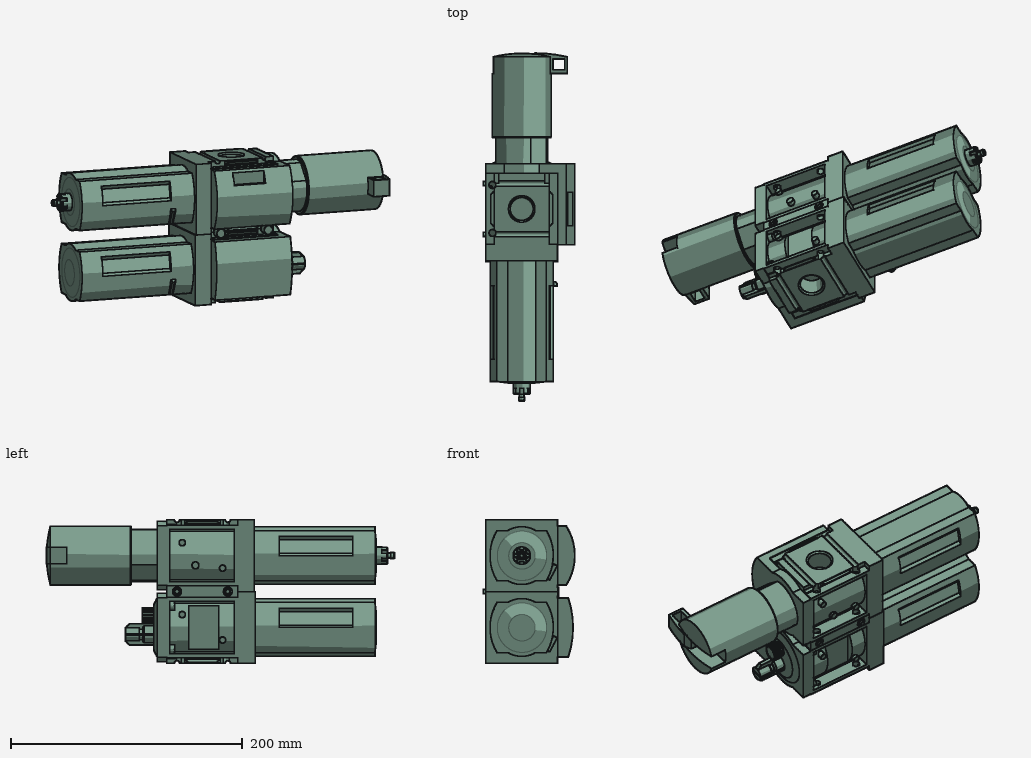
import cadquery as cq
import math


total_height = 124.0
unit_size = total_height / 2
half = unit_size / 2
end_back = 39.0
seat_back = 31.0
seat_front = -30.5
upper_front = -44.7
lower_front = -45.5

seat_width = 7.2
seat_depth = 4.8
screw_y = 22.0
screw_d = 4.5
screw_tip_d = 4.0
screw_tip_x = -33.3
screw_head_d = 7.8
screw_head_x = half + 1.0
counterbore_d = 7.5
counterbore_depth = 1.5
ledge_length = 30.5
ledge_width = 3.0
ledge_gap = 0.5
ledge_drop = 3.0
ledge_edge = 0.5
stud_hole_d = 6.0
stud_hole_x = -25.2
stud_hole_y = 20.7
corner_notch_width = 4.0
corner_notch_depth = 4.0
corner_notch_front = 22.2

end_half_height = 25.5
end_disc_r = 29.7

port_d = 19.8
port_mouth_d = 22.8
port_depth = 18.0

pocket_back = 28.2
pocket_front = -27.5
pocket_half_height = 22.5
pocket_depth = 11.0
barrel_r = 28.8
pin_d = 5.5
large_pin_d = 6.0
pin_length_beyond_barrel = 1.8
upper_pins = [(17.5, 11.0, pin_d), (6.0, -8.5, large_pin_d), (-17.5, -10.8, pin_d)]
lower_pins = [(17.5, 11.0, pin_d), (-17.5, -10.8, pin_d)]
flat_back = 11.7
flat_front = -14.0
flat_half_height = 18.5
roller_d = 7.5
roller_front = 24.0
roller_x = -25.5
roller_z = 18.5

cover_front = -31.0
cover_half_height = end_half_height
upper_cover_x = 46.0
upper_cover_edge_x = 38.5
lower_cover_x = 44.5
lower_cover_edge_x = 40.2
cover_notch_half_length = 14.5
cover_notch_floor_x = 40.0
cover_notch_z = 12.5

bowl_end = -149.0
bowl_half_width = 27.3
bowl_corner_x = 21.3
bowl_flat_z = 21.5
bowl_crown_z = 25.0
bowl_crown_half = 12.0
bowl_cone_base_r = 21.3
bowl_cone_tip_r = 11.5
bowl_cone_height = 1.2
window_back = -66.5
window_front = -129.7
window_height = 16.8
window_sill_z = 2.0
window_sill_x = 24.5
window_lintel_z = 13.5
window_lintel_x = 22.2
window_edge_x = 24.0
latch_back = -62.8
latch_length = 4.0
latch_width = 13.8
latch_thickness = 3.5
latch_chamfer = 1.8
latch_x = 25.8
latch_z = -14.0
latch_tilt = 28.0

drain_d = 15.0
drain_end = -159.8
drain_slot_width = 3.3
drain_slot_back = -154.7
drain_chamfer = 1.0
drain_slot_depth = 2.5
drain_slot_count = 6
drain_recess_d = 7.5
drain_recess_depth = 1.2
nozzle_d = 4.5
nozzle_tip_d = 5.5
nozzle_tip_back = -162.5
nozzle_tip_front = -165.0
nozzle_end = -165.8
nozzle_bore_d = 3.3

neck_r = 22.5
neck_flat_distance = 20.5
knob_r = 25.5
knob_front = 61.3
knob_front_chamfer = 1.0
knob_rim = 131.2
knob_top = 134.5
knob_dome_mid_y = knob_top - (knob_top - knob_rim) / 4
knob_flat_angle = -45
knob_slot_height = 14.5
knob_slot_front = 116.8
hasp_x = 39.3
hasp_inner_x = 5.7
hasp_crown_x = 11.7
hasp_hole_x0 = 27.0
hasp_hole_x1 = 37.0
hasp_hole_y0 = 120.0
hasp_hole_y1 = 129.0

dome_r = 25.2
dome_flat_r = 19.2
dome_top = 42.0
dome_mid_y = 40.8
filler_d = 13.0
filler_z = 10.5
filler_end = 52.0
filler_flute_count = 14
filler_flute_d = 1.2
drip_z = -6.0
drip_base_d = 15.0
drip_base_end = 51.7
drip_base_chamfer = 1.5
drip_neck_end = 54.7
drip_neck_d = 10.0
drip_head_d = 11.7
drip_end = 66.5
wing_height = 18.5
wing_thickness = 3.5
wing_chamfer = 3.5
drip_slit = 1.0


def block(x0, x1, y0, y1, z0, z1):
    """Box between the given limits."""
    return cq.Workplane("XY").box(x1 - x0, y1 - y0, z1 - z0, centered=False).translate((x0, y0, z0))


def rod_y(diameter, y0, y1, x=0.0, z=0.0):
    """Cylinder along Y."""
    return cq.Workplane("XZ", origin=(x, y1, z)).circle(diameter / 2).extrude(y1 - y0)


def rod_x(diameter, x0, x1, y=0.0, z=0.0):
    """Cylinder along X."""
    return cq.Workplane("YZ", origin=(x0, y, z)).circle(diameter / 2).extrude(x1 - x0)


def both_sides(shape):
    """Shape together with its mirror image across the XY plane."""
    return shape.union(shape.mirror("XY"))


def seat_ledges():
    """Ledges on the inner walls of the +Z seats at -X and +X, with ends cut at 45 degrees."""
    inner_x = half - seat_width
    long_half = ledge_length / 2
    short_half = long_half - ledge_width
    outline = [
        (inner_x, -long_half),
        (inner_x + ledge_width, -short_half),
        (inner_x + ledge_width, short_half),
        (inner_x, long_half),
    ]
    plan = cq.Workplane("XY", origin=(0, 0, half - seat_depth)).polyline(outline).close().extrude(seat_depth)
    top_z = half - ledge_gap
    profile = [
        (inner_x, top_z),
        (inner_x + ledge_width, top_z),
        (inner_x + ledge_width, top_z - ledge_edge),
        (inner_x, top_z - ledge_drop),
    ]
    ledge = cq.Workplane("XZ", origin=(0, long_half, 0)).polyline(profile).close().extrude(ledge_length)
    ledge = ledge.intersect(plan)
    return ledge.union(ledge.mirror("YZ"))


def seats():
    """Material removed along the +Z face: clamp seats, corner notches, screw grooves, stud holes."""
    floor = half - seat_depth
    inner_x = half - seat_width
    removed = rod_x(screw_d, -half, half, screw_y, half)
    removed = removed.union(rod_x(screw_d, -half, half, -screw_y, half))
    for y in (-stud_hole_y, stud_hole_y):
        hole = cq.Workplane("XY", origin=(stud_hole_x, y, half)).circle(stud_hole_d / 2)
        removed = removed.union(hole.extrude(pocket_half_height - half))
    for side in (-1, 1):
        seat = block(inner_x, half, seat_front, seat_back, floor, half)
        notch = block(inner_x - corner_notch_width, inner_x, corner_notch_front, seat_back,
                      half - corner_notch_depth, half)
        cut = seat.union(notch)
        removed = removed.union(cut if side > 0 else cut.mirror("YZ"))
    return removed.cut(seat_ledges())


def port():
    """Port with a conical mouth in the +Z face."""
    bore = cq.Workplane("XY", origin=(0, 0, half)).circle(port_d / 2).extrude(-port_depth)
    mouth_depth = (port_mouth_d - port_d) / 2
    mouth = (cq.Workplane("XY", origin=(0, 0, half)).circle(port_mouth_d / 2)
             .workplane(offset=-mouth_depth).circle(port_d / 2).loft())
    return bore.union(mouth)


def housing(front, port_side, pins):
    """Square housing with its seats, port, side pocket, inner barrel and indicator pins."""
    body = block(-half, half, front, seat_back, -half, half)
    body = body.cut(both_sides(seats()))
    body = body.union(block(-half, half, seat_back, end_back, -end_half_height, end_half_height))
    body = body.union(rod_y(2 * end_disc_r, seat_back, end_back))

    mouth = port()
    body = body.cut(mouth if port_side > 0 else mouth.mirror("XY"))

    pocket = block(-half, pocket_depth - half, pocket_front, pocket_back,
                   -pocket_half_height, pocket_half_height)
    pocket = pocket.cut(rod_y(2 * barrel_r, pocket_front, pocket_back))
    body = body.cut(pocket)
    for y, z, diameter in pins:
        tip_x = -barrel_r - pin_length_beyond_barrel
        body = body.union(rod_x(diameter, tip_x, pocket_depth - half, y, z))
    return body


def cover(edge_x, crown_x):
    """Side cover with a bulged outer face."""
    profile = (cq.Workplane("XZ", origin=(0, end_back, 0))
               .moveTo(half, -cover_half_height).lineTo(edge_x, -cover_half_height)
               .threePointArc((crown_x, 0), (edge_x, cover_half_height))
               .lineTo(half, cover_half_height).close())
    return profile.extrude(end_back - cover_front)


def bowl(front):
    """Bowl with bulged sides, crowned top and bottom, side windows, a latch and a conical end."""
    outline = (cq.Workplane("XZ", origin=(0, front, 0))
               .moveTo(-bowl_corner_x, -bowl_flat_z)
               .threePointArc((-bowl_half_width, 0), (-bowl_corner_x, bowl_flat_z))
               .lineTo(-bowl_crown_half, bowl_flat_z)
               .threePointArc((0, bowl_crown_z), (bowl_crown_half, bowl_flat_z))
               .lineTo(bowl_corner_x, bowl_flat_z)
               .threePointArc((bowl_half_width, 0), (bowl_corner_x, -bowl_flat_z))
               .lineTo(bowl_crown_half, -bowl_flat_z)
               .threePointArc((0, -bowl_crown_z), (-bowl_crown_half, -bowl_flat_z))
               .close())
    body = outline.extrude(front - bowl_end)

    window_profile = [
        (-half, 0),
        (-bowl_half_width, 0),
        (-window_sill_x, window_sill_z),
        (-window_lintel_x, window_lintel_z),
        (-window_edge_x, window_height),
        (-half, window_height),
    ]
    window = cq.Workplane("XZ", origin=(0, window_back, 0)).polyline(window_profile).close()
    window = window.extrude(window_back - window_front)
    body = body.cut(window).cut(window.mirror("YZ"))

    latch = block(-latch_thickness / 2, latch_thickness / 2, latch_back - latch_length, latch_back,
                  -latch_width / 2, latch_width / 2)
    latch = latch.faces(">X").edges(">Y").chamfer(latch_chamfer)
    latch = latch.rotate((0, 0, 0), (0, 1, 0), latch_tilt).translate((latch_x, 0, latch_z))
    body = body.union(latch)

    cone = (cq.Workplane("XZ", origin=(0, bowl_end, 0)).circle(bowl_cone_base_r)
            .workplane(offset=bowl_cone_height).circle(bowl_cone_tip_r).loft())
    return body.union(cone)


def drain():
    """Slotted drain collar with a flanged, bored nozzle."""
    recess_floor = drain_end + drain_recess_depth
    collar = rod_y(drain_d, drain_end, bowl_end).faces("<Y").chamfer(drain_chamfer)
    collar = collar.cut(rod_y(drain_recess_d, drain_end, recess_floor))
    for index in range(drain_slot_count):
        slot = block(-drain_slot_width / 2, drain_slot_width / 2, drain_end, drain_slot_back,
                     drain_d / 2 - drain_slot_depth, drain_d)
        collar = collar.cut(slot.rotate((0, 0, 0), (0, 1, 0), index * 360 / drain_slot_count))
    nozzle = rod_y(nozzle_d, nozzle_end, recess_floor)
    nozzle = nozzle.union(rod_y(nozzle_tip_d, nozzle_tip_front, nozzle_tip_back))
    return collar.union(nozzle).cut(rod_y(nozzle_bore_d, nozzle_end, recess_floor))


def knob():
    """Round knob on a neck with two flats, domed end, cross slot and a padlock hasp."""
    neck = rod_y(2 * neck_r, end_back, knob_front)
    flats = block(-neck_flat_distance, neck_flat_distance, end_back, knob_front, -knob_r, knob_r)
    neck = neck.intersect(flats.rotate((0, 0, 0), (0, 1, 0), knob_flat_angle))

    grip = (cq.Workplane("XY").moveTo(0, knob_front).lineTo(knob_r - knob_front_chamfer, knob_front)
            .lineTo(knob_r, knob_front + knob_front_chamfer).lineTo(knob_r, knob_rim)
            .threePointArc((knob_r / 2, knob_dome_mid_y), (0, knob_top))
            .close().revolve(360, (0, 0, 0), (0, 1, 0)))
    slot = block(-knob_r, hasp_crown_x, knob_slot_front, knob_top,
                 -knob_slot_height / 2, knob_slot_height / 2)
    grip = grip.cut(slot)

    hasp_mid_x = (hasp_crown_x + hasp_x) / 2
    hasp = (cq.Workplane("XY", origin=(0, 0, -knob_slot_height / 2))
            .moveTo(hasp_inner_x, knob_slot_front).lineTo(hasp_x, knob_slot_front)
            .lineTo(hasp_x, knob_rim).threePointArc((hasp_mid_x, knob_dome_mid_y), (hasp_crown_x, knob_top))
            .lineTo(hasp_inner_x, knob_rim).close().extrude(knob_slot_height))
    hole = block(hasp_hole_x0, hasp_hole_x1, hasp_hole_y0, hasp_hole_y1, -knob_r, knob_r)
    return neck.union(grip).union(hasp).cut(hole)


def upper_unit():
    """Filter regulator: housing, notched cover, bowl with drain, and knob."""
    side_cover = cover(upper_cover_edge_x, upper_cover_x)
    side_cover = side_cover.cut(block(cover_notch_floor_x, upper_cover_x, -cover_notch_half_length,
                                      cover_notch_half_length, cover_notch_z, cover_half_height))
    body = housing(upper_front, 1, upper_pins)
    body = body.union(side_cover).union(bowl(upper_front)).union(drain()).union(knob())
    return body.translate((0, 0, half))


def dome():
    """Shallow dome on the +Y face."""
    mid_r = (dome_r + dome_flat_r) / 2
    profile = (cq.Workplane("XY").moveTo(0, end_back).lineTo(dome_r, end_back)
               .threePointArc((mid_r, dome_mid_y), (dome_flat_r, dome_top)).lineTo(0, dome_top).close())
    return profile.revolve(360, (0, 0, 0), (0, 1, 0))


def filler_cap():
    """Fluted cap of the oil filler."""
    cap = rod_y(filler_d, dome_top, filler_end, 0, filler_z)
    for index in range(filler_flute_count):
        angle = 2 * math.pi * index / filler_flute_count
        x = filler_d / 2 * math.cos(angle)
        z = filler_z + filler_d / 2 * math.sin(angle)
        cap = cap.cut(rod_y(filler_flute_d, dome_top, filler_end, x, z))
    return cap


def drip_knob():
    """Stepped drip-rate knob with a flat wing and a slit across its end."""
    base = rod_y(drip_base_d, dome_top, drip_base_end).faces(">Y").chamfer(drip_base_chamfer)
    stem = rod_y(drip_neck_d, drip_base_end, drip_neck_end)
    head = rod_y(drip_head_d, drip_neck_end, drip_end)
    wing = block(-wing_thickness / 2, wing_thickness / 2, dome_top, drip_end,
                 -wing_height / 2, wing_height / 2)
    wing = wing.faces(">Y").edges("|X").chamfer(wing_chamfer)
    shape = base.union(stem).union(head).union(wing)
    shape = shape.cut(block(-wing_height, wing_height, dome_top, drip_end, -drip_slit / 2, drip_slit / 2))
    return shape.translate((0, 0, drip_z))


def lower_unit():
    """Lubricator: housing with a flat on its barrel, cover, bowl, dome, filler cap and drip knob."""
    body = housing(lower_front, -1, lower_pins)
    flat_x = math.sqrt(barrel_r ** 2 - flat_half_height ** 2)
    body = body.cut(block(-barrel_r, -flat_x, flat_front, flat_back, -flat_half_height, flat_half_height))
    for side in (-1, 1):
        body = body.union(rod_y(roller_d, roller_front, pocket_back, roller_x, side * roller_z))
    body = body.union(cover(lower_cover_edge_x, lower_cover_x)).union(bowl(lower_front))
    body = body.union(dome()).union(filler_cap()).union(drip_knob())
    return body.translate((0, 0, -half))


def clamp_plate():
    """Plate filling the two facing seats on the -X side, with counterbored screw holes."""
    plate = block(-half, seat_width - half, seat_front, seat_back, -seat_depth, seat_depth)
    plate = plate.cut(both_sides(seat_ledges().translate((0, 0, -half))))
    for y in (-screw_y, screw_y):
        plate = plate.cut(rod_x(screw_d, -half, seat_width - half, y))
        plate = plate.cut(rod_x(counterbore_d, -half, counterbore_depth - half, y))
    return plate


def clamp_screw(y):
    """Screw along X whose head rests in the +X seats."""
    tip = rod_x(screw_tip_d, screw_tip_x, -half, y)
    shank = rod_x(screw_d, -half, half - seat_width, y)
    return tip.union(shank).union(rod_x(screw_head_d, half - seat_width, screw_head_x, y))


upper = upper_unit()
lower = lower_unit()
plate = clamp_plate()
screws = [clamp_screw(y) for y in (-screw_y, screw_y)]

result = cq.Compound.makeCompound(
    [upper.val(), lower.val(), plate.val()] + [screw.val() for screw in screws]
)